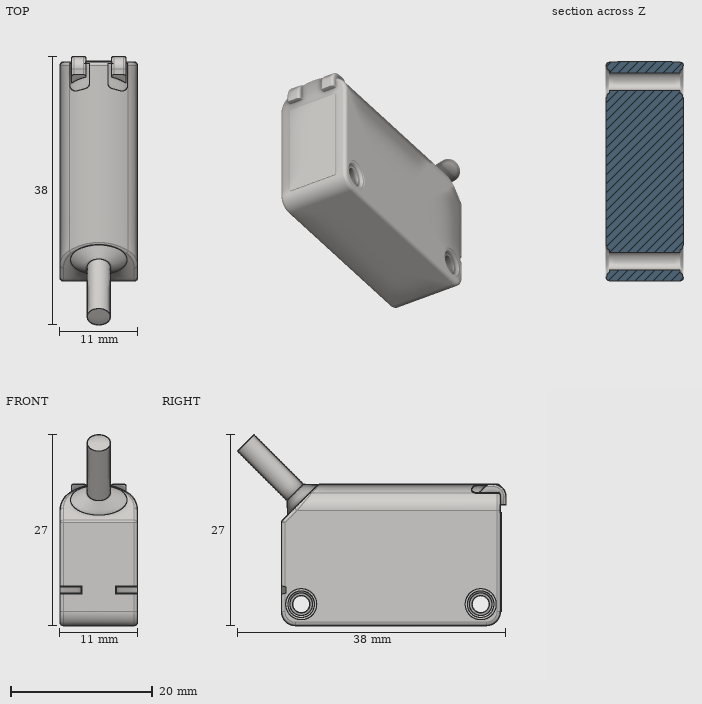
import cadquery as cq
import math

WIDTH = 11.0
LENGTH = 31.0
HEIGHT = 20.05
HALF_WIDTH = WIDTH / 2
CROWN_RADIUS = 7.5
SHOULDER_RADIUS = 3.0
BOTTOM_CORNER_RADIUS = 2.0
EDGE_RADIUS = 0.5
CHAMFER = 5.25

WINDOW_WIDTH = 7.6
WINDOW_BOTTOM = 2.0
WINDOW_TOP = 16.0
WINDOW_THICKNESS = 0.12

HOLE_DIAMETER = 2.4
HOLE_SPACING = 25.4
HOLE_BACK_Y = 2.8
HOLE_Z = 3.05
SPOTFACE_DIAMETER = 4.4
SPOTFACE_DEPTH = 0.1
COUNTERBORE_DIAMETER = 3.2
COUNTERBORE_DEPTH = 0.5
COUNTERBORE_BEVEL = 0.28

NOTCH_INNER_X = 2.35
NOTCH_HEIGHT = 1.2
NOTCH_Z = 5.06
NOTCH_DEPTH = 0.65
NOTCH_TAPER = 15

CABLE_RADIUS = 1.65
CABLE_END_OVERHANG = 6.23
CABLE_END_TOP = 27.05
BOOT_HALF_WIDTH = 4.0
BOOT_HALF_LENGTH = 3.04
BOOT_HEIGHT = 1.5

HOOK_INNER_X = 1.78
HOOK_OUTER_X = 3.88
HOOK_FRONT_REACH = 0.8
HOOK_BOTTOM = 17.1
HOOK_BEND_RADIUS = 1.8
HOOK_TOP_END_Y = 29.2
HOOK_EDGE_RADIUS = 0.35
HOOK_FOOT_Z = 18.0
POCKET_INNER_X = 1.3
POCKET_OUTER_X = 4.08
POCKET_INNER_END_Y = 27.4
POCKET_OUTER_END_Y = 26.65
POCKET_CORNER_RADIUS = 0.8
POCKET_DEPTH = 0.1

SQRT_HALF = math.sqrt(0.5)


def section_prism(inset):
    """Housing cross-section swept along Y, with the roof and walls moved inwards by `inset`."""
    crown = CROWN_RADIUS - inset
    shoulder = SHOULDER_RADIUS - inset
    crown_z = HEIGHT - CROWN_RADIUS
    shoulder_x = HALF_WIDTH - SHOULDER_RADIUS
    tilt = math.asin(shoulder_x / (CROWN_RADIUS - SHOULDER_RADIUS))
    shoulder_z = crown_z + (CROWN_RADIUS - SHOULDER_RADIUS) * math.cos(tilt)
    join = (crown * math.sin(tilt), crown_z + crown * math.cos(tilt))
    mid_angle = (tilt + math.pi / 2) / 2
    mid = (shoulder_x + shoulder * math.sin(mid_angle), shoulder_z + shoulder * math.cos(mid_angle))
    wall_x = HALF_WIDTH - inset
    return (
        cq.Workplane("XZ")
        .moveTo(-wall_x, 0)
        .lineTo(wall_x, 0)
        .lineTo(wall_x, shoulder_z)
        .threePointArc(mid, join)
        .threePointArc((0, crown_z + crown), (-join[0], join[1]))
        .threePointArc((-mid[0], mid[1]), (-wall_x, shoulder_z))
        .close()
        .extrude(-LENGTH)
    )


def side_prism():
    """Side outline of the housing, extruded across its width."""
    return (
        cq.Workplane("YZ")
        .moveTo(0, 0)
        .lineTo(LENGTH, 0)
        .lineTo(LENGTH, HEIGHT)
        .lineTo(CHAMFER, HEIGHT)
        .lineTo(0, HEIGHT - CHAMFER)
        .close()
        .extrude(HALF_WIDTH, both=True)
        .edges("|X and <Z")
        .fillet(BOTTOM_CORNER_RADIUS)
    )


def housing_shell():
    """Section and side outline combined, with the front, back and side faces rounded at their edges."""
    block = section_prism(0).intersect(side_prism())
    return block.faces("<Y or >Y or <X or >X").edges().fillet(EDGE_RADIUS)


def window():
    return (
        cq.Workplane("XY")
        .box(WINDOW_WIDTH, WINDOW_THICKNESS, WINDOW_TOP - WINDOW_BOTTOM, centered=(True, False, False))
        .translate((0, LENGTH, WINDOW_BOTTOM))
    )


def mounting_hole(y):
    """Stepped through hole, revolved about its axis along X."""
    bore = HOLE_DIAMETER / 2
    counterbore = COUNTERBORE_DIAMETER / 2
    bevel = counterbore + COUNTERBORE_BEVEL
    spotface = SPOTFACE_DIAMETER / 2
    floor_x = HALF_WIDTH - COUNTERBORE_DEPTH
    step_x = HALF_WIDTH - SPOTFACE_DEPTH
    half = [
        (HALF_WIDTH, spotface),
        (step_x, spotface),
        (step_x, bevel),
        (step_x - COUNTERBORE_BEVEL, counterbore),
        (floor_x, counterbore),
        (floor_x, bore),
    ]
    mirrored = [(-x, r) for x, r in reversed(half)]
    outline = [(HALF_WIDTH, 0)] + half + mirrored + [(-HALF_WIDTH, 0)]
    return (
        cq.Workplane("XY")
        .polyline(outline)
        .close()
        .revolve(360, (0, 0, 0), (1, 0, 0))
        .translate((0, y, HOLE_Z))
    )


def notch(side):
    """Cutter for a back notch; it runs on past the side wall so that the notch is open there."""
    return (
        cq.Workplane("XZ")
        .center(side * (NOTCH_INNER_X + WIDTH) / 2, NOTCH_Z)
        .rect(WIDTH - NOTCH_INNER_X, NOTCH_HEIGHT)
        .extrude(-NOTCH_DEPTH, taper=NOTCH_TAPER)
    )


def cable_plane(distance):
    """Plane square to the cable axis, `distance` before the free end of the cable."""
    end_y = -CABLE_END_OVERHANG + CABLE_RADIUS * SQRT_HALF
    end_z = CABLE_END_TOP - CABLE_RADIUS * SQRT_HALF
    origin = (0, end_y + distance * SQRT_HALF, end_z - distance * SQRT_HALF)
    return cq.Plane(origin=origin, xDir=(1, 0, 0), normal=(0, -1, 1))


FACE_DISTANCE = (
    CABLE_END_TOP + CABLE_END_OVERHANG - 2 * CABLE_RADIUS * SQRT_HALF - (HEIGHT - CHAMFER)
) * SQRT_HALF
CABLE_LENGTH = FACE_DISTANCE - BOOT_HEIGHT


def boot():
    """Raised boot tapering from an ellipse on the cable face to the cable itself."""
    return (
        cq.Workplane(cable_plane(FACE_DISTANCE))
        .ellipse(BOOT_HALF_WIDTH, BOOT_HALF_LENGTH)
        .workplane(offset=BOOT_HEIGHT)
        .circle(CABLE_RADIUS)
        .loft(ruled=True)
    )


def pocket(side):
    """Shallow roof pocket, open at the front, following the arch of the roof."""
    open_end_y = LENGTH + POCKET_CORNER_RADIUS
    outline = [
        (side * POCKET_INNER_X, open_end_y),
        (side * POCKET_INNER_X, POCKET_INNER_END_Y),
        (side * POCKET_OUTER_X, POCKET_OUTER_END_Y),
        (side * POCKET_OUTER_X, open_end_y),
    ]
    prism = (
        cq.Workplane("XY")
        .workplane(offset=HOOK_FOOT_Z)
        .polyline(outline)
        .close()
        .extrude(HEIGHT - HOOK_FOOT_Z)
        .edges("|Z")
        .fillet(POCKET_CORNER_RADIUS)
    )
    return prism.cut(section_prism(POCKET_DEPTH))


def make_housing():
    body = housing_shell().union(window()).union(boot())
    for y in (HOLE_BACK_Y, HOLE_BACK_Y + HOLE_SPACING):
        body = body.cut(mounting_hole(y))
    for side in (-1, 1):
        body = body.cut(notch(side)).cut(pocket(side))
    return body


def make_cable():
    return cq.Workplane(cable_plane(CABLE_LENGTH)).circle(CABLE_RADIUS).extrude(CABLE_LENGTH)


def make_hook(side, housing):
    """Hook lying in a roof pocket and bent down over the front face."""
    front_y = LENGTH + HOOK_FRONT_REACH
    ramp_foot_y = HOOK_TOP_END_Y - (HEIGHT - HOOK_FOOT_Z)
    bend_y = front_y - HOOK_BEND_RADIUS
    bend_z = HEIGHT - HOOK_BEND_RADIUS
    bend_mid = (bend_y + HOOK_BEND_RADIUS * SQRT_HALF, bend_z + HOOK_BEND_RADIUS * SQRT_HALF)
    width = HOOK_OUTER_X - HOOK_INNER_X
    blank = (
        cq.Workplane("YZ")
        .workplane(offset=side * (HOOK_INNER_X + HOOK_OUTER_X) / 2)
        .moveTo(LENGTH, HOOK_BOTTOM)
        .lineTo(front_y, HOOK_BOTTOM)
        .lineTo(front_y, bend_z)
        .threePointArc(bend_mid, (bend_y, HEIGHT))
        .lineTo(HOOK_TOP_END_Y, HEIGHT)
        .lineTo(ramp_foot_y, HOOK_FOOT_Z)
        .lineTo(LENGTH, HOOK_FOOT_Z)
        .close()
        .extrude(width / 2, both=True)
    )
    rounded = blank.faces(">Y or >Z").edges("<X or >X").fillet(HOOK_EDGE_RADIUS)
    return rounded.cut(housing)


housing = make_housing()
cable = make_cable()
hooks = [make_hook(side, housing) for side in (-1, 1)]

result = cq.Compound.makeCompound([housing.val(), cable.val(), *[hook.val() for hook in hooks]])